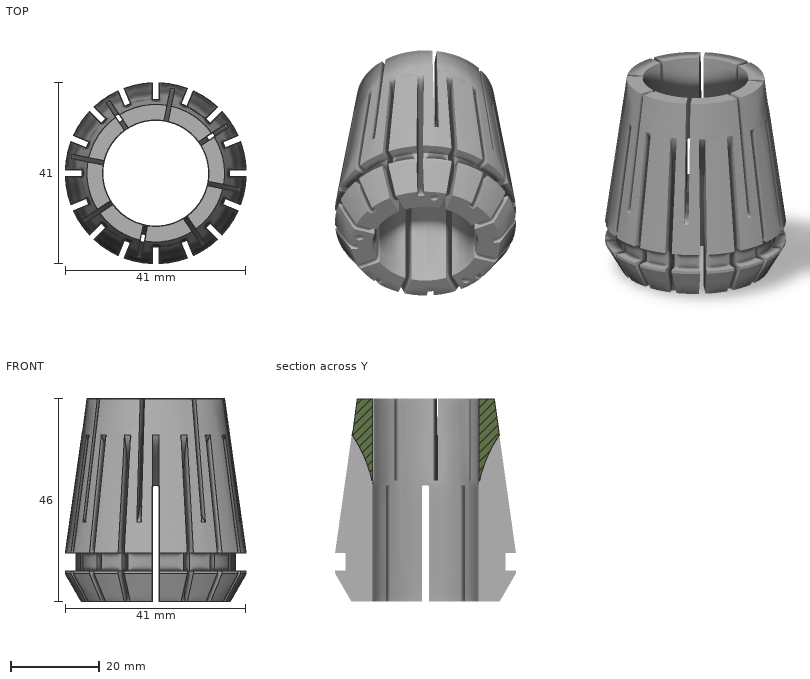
import math

import cadquery as cq

total_height = 46.0
bore_radius = 12.0
max_radius = 20.5
taper_angle = 8.0

flange_cone_height = 6.35
flange_cone_angle = 30.0
groove_bottom = 7.0
groove_top = 11.0
groove_radius = 18.12

lower_slot_count = 16
lower_slot_pitch = 360.0 / lower_slot_count
lower_slot_width = 1.5
lower_slot_end = 37.8
deep_slot_inner_radius = 11.5
deep_slot_runout_radius = 30.0
shallow_slot_inner_radius = 15.5
shallow_slot_floor_angle = 12.0
shallow_slot_runout_radius = 60.0

upper_slot_count = 8
upper_slot_pitch = 360.0 / upper_slot_count
upper_slot_start_angle = 1.5 * lower_slot_pitch
upper_slot_width = 1.0
upper_slot_end = 18.0
upper_slot_inner_radius = 8.7
upper_slot_runout_radius = 30.0

axial_hole_slots = (0, 2, 5)
axial_hole_diameter = 1.8
axial_hole_circle_radius = 15.0
axial_hole_depth = 25.0

clearance = 2.0


def taper_radius(z):
    """Radius of the long outer cone at height z."""
    return max_radius - (z - groove_top) * math.tan(math.radians(taper_angle))


def make_body():
    """Revolved sleeve with bore, flange cone, extraction groove and long taper."""
    flange_cone_run = flange_cone_height * math.tan(math.radians(flange_cone_angle))
    return (
        cq.Workplane("XZ")
        .moveTo(bore_radius, 0)
        .lineTo(max_radius - flange_cone_run, 0)
        .lineTo(max_radius, flange_cone_height)
        .lineTo(max_radius, groove_bottom)
        .lineTo(groove_radius, groove_bottom)
        .lineTo(groove_radius, groove_top)
        .lineTo(max_radius, groove_top)
        .lineTo(taper_radius(total_height), total_height)
        .lineTo(bore_radius, total_height)
        .close()
        .revolve(360, (0, 0, 0), (0, 1, 0))
    )


def rotated_about_axis(shape, angle):
    return shape.rotate((0, 0, 0), (0, 0, 1), angle)


def make_slot_cutter(open_z, end_z, width, inner_radius, runout_radius, floor_angle=0.0):
    """Slot along +X from the face at open_z to the outer cone at end_z.

    The floor starts at inner_radius on the open face, leans towards the axis by floor_angle,
    and ends in a tangent runout arc that reaches the cone surface at end_z.
    """
    end_radius = taper_radius(end_z)
    outer_radius = max_radius + clearance
    direction = math.copysign(1, end_z - open_z)
    lean_sin = math.sin(math.radians(floor_angle))
    lean_cos = math.cos(math.radians(floor_angle))

    def floor_point(along, lift):
        """Profile point at a distance along the floor line and lifted off it."""
        radius = inner_radius - along * lean_sin + lift * lean_cos
        return radius, open_z + direction * (along * lean_cos + lift * lean_sin)

    end_rise = end_radius - inner_radius
    end_travel = abs(end_z - open_z)
    end_along = end_travel * lean_cos - end_rise * lean_sin
    end_lift = end_travel * lean_sin + end_rise * lean_cos
    sweep = math.acos(1 - end_lift / runout_radius)
    arc_start = end_along - runout_radius * math.sin(sweep)
    arc_middle = floor_point(
        arc_start + runout_radius * math.sin(sweep / 2),
        runout_radius * (1 - math.cos(sweep / 2)),
    )
    return (
        cq.Workplane("XZ")
        .moveTo(*floor_point(-clearance, 0))
        .lineTo(*floor_point(arc_start, 0))
        .threePointArc(arc_middle, (end_radius, end_z))
        .lineTo(outer_radius, end_z)
        .lineTo(outer_radius, open_z - direction * clearance)
        .close()
        .extrude(width / 2, both=True)
    )


def cut_lower_slots(body):
    deep_cutter = make_slot_cutter(
        0, lower_slot_end, lower_slot_width, deep_slot_inner_radius, deep_slot_runout_radius
    )
    shallow_cutter = make_slot_cutter(
        0,
        lower_slot_end,
        lower_slot_width,
        shallow_slot_inner_radius,
        shallow_slot_runout_radius,
        shallow_slot_floor_angle,
    )
    for index in range(lower_slot_count):
        cutter = shallow_cutter if index % 2 else deep_cutter
        body = body.cut(rotated_about_axis(cutter, index * lower_slot_pitch))
    return body


def upper_slot_angle(index):
    return upper_slot_start_angle + index * upper_slot_pitch


def cut_upper_slots(body):
    cutter = make_slot_cutter(
        total_height,
        upper_slot_end,
        upper_slot_width,
        upper_slot_inner_radius,
        upper_slot_runout_radius,
    )
    for index in range(upper_slot_count):
        body = body.cut(rotated_about_axis(cutter, upper_slot_angle(index)))
    return body


def cut_axial_holes(body):
    hole = (
        cq.Workplane("XY")
        .center(axial_hole_circle_radius, 0)
        .circle(axial_hole_diameter / 2)
        .extrude(axial_hole_depth)
    )
    for index in axial_hole_slots:
        body = body.cut(rotated_about_axis(hole, upper_slot_angle(index)))
    return body


result = make_body()
result = cut_lower_slots(result)
result = cut_upper_slots(result)
result = cut_axial_holes(result)